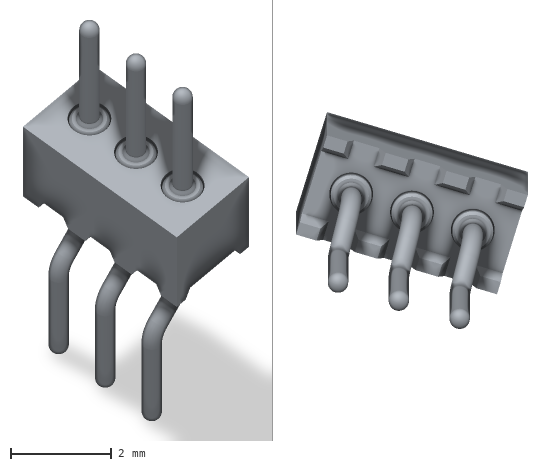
import cadquery as cq
import math

total_height = 9.51

pin_count = 3
pin_row_span = 2.54
pitch = pin_row_span / (pin_count - 1)
housing_length = 4.19
housing_width = 2.12
housing_height = 2.2
hole_radius = 0.44

channel_depth = 0.26
cross_channel_ceiling = 0.53
cross_channel_mouth = 0.8
long_channel_ceiling = 1.33
long_channel_mouth = 1.6

wire_diameter = 0.41
wire_radius = wire_diameter / 2
collar_radius = 0.41
collar_chamfer = 0.06
collar_top = housing_height
collar_bottom = 0.09
cone_flare = 0.07
cone_height = 0.08
pin_rise = 3.0
pin_top = housing_height + pin_rise
pin_bottom = pin_top - total_height

bend_start = -0.27
bend_angle = math.radians(45)
upper_bend_radius = 1.2
lower_bend_radius = 0.65
tail_offset = 0.9


def channel(ceiling, mouth, length, plane):
    """Trapezoidal prism of the given length, centred on the plane's origin."""
    return (
        cq.Workplane(plane)
        .moveTo(-mouth / 2, 0)
        .lineTo(mouth / 2, 0)
        .lineTo(ceiling / 2, channel_depth)
        .lineTo(-ceiling / 2, channel_depth)
        .close()
        .extrude(length / 2, both=True)
    )


def make_housing(pin_positions):
    """Block with a hole per pin, a channel across at each pin and one along the row."""
    block = cq.Workplane("XY").box(
        housing_length, housing_width, housing_height, centered=(True, True, False)
    )
    block = block.cut(channel(long_channel_ceiling, long_channel_mouth, housing_length, "YZ"))
    cross_channel = channel(cross_channel_ceiling, cross_channel_mouth, housing_width, "XZ")
    hole = cq.Workplane("XY").circle(hole_radius).extrude(housing_height)
    for x in pin_positions:
        block = block.cut(cross_channel.translate((x, 0, 0)))
        block = block.cut(hole.translate((x, 0, 0)))
    return block.solids().val()


def make_pin_head():
    """Straight upper part: round tip, wire and chamfered collar with a cone at each end."""
    tip_start = pin_top - wire_radius
    tip_middle = wire_radius * math.sqrt(0.5)
    cone_radius = wire_radius + cone_flare
    face_radius = collar_radius - collar_chamfer
    return (
        cq.Workplane("XZ")
        .moveTo(0, pin_top)
        .threePointArc((tip_middle, tip_start + tip_middle), (wire_radius, tip_start))
        .lineTo(wire_radius, collar_top + cone_height)
        .lineTo(cone_radius, collar_top)
        .lineTo(face_radius, collar_top)
        .lineTo(collar_radius, collar_top - collar_chamfer)
        .lineTo(collar_radius, collar_bottom + collar_chamfer)
        .lineTo(face_radius, collar_bottom)
        .lineTo(cone_radius, collar_bottom)
        .lineTo(wire_radius, collar_bottom - cone_height)
        .lineTo(wire_radius, bend_start)
        .lineTo(0, bend_start)
        .close()
        .revolve(360, (0, 0, 0), (0, 1, 0))
    )


def arc_offset(radius, angle):
    """Sideways and downward travel of a bend that starts out vertical."""
    return radius * (1 - math.cos(angle)), radius * math.sin(angle)


def make_pin_tail():
    """Wire swept down through both bends, ending in a round tip."""
    upper_mid = arc_offset(upper_bend_radius, bend_angle / 2)
    upper_end = arc_offset(upper_bend_radius, bend_angle)
    lower_mid = arc_offset(lower_bend_radius, bend_angle / 2)
    lower_end = arc_offset(lower_bend_radius, bend_angle)
    slope_shift = tail_offset - upper_end[0] - lower_end[0]
    slope_drop = slope_shift / math.tan(bend_angle)
    slope_end_y = -upper_end[0] - slope_shift
    slope_end_z = bend_start - upper_end[1] - slope_drop
    bend_end_z = slope_end_z - lower_end[1]
    tip_start = pin_bottom + wire_radius

    path = (
        cq.Workplane("YZ")
        .moveTo(0, bend_start)
        .threePointArc(
            (-upper_mid[0], bend_start - upper_mid[1]), (-upper_end[0], bend_start - upper_end[1])
        )
        .lineTo(slope_end_y, slope_end_z)
        .threePointArc((-tail_offset + lower_mid[0], bend_end_z + lower_mid[1]), (-tail_offset, bend_end_z))
        .lineTo(-tail_offset, tip_start)
    )
    tail = cq.Workplane("XY", origin=(0, 0, bend_start)).circle(wire_radius).sweep(path)
    tip = cq.Workplane("XY").sphere(wire_radius).translate((0, -tail_offset, tip_start))
    return tail.union(tip)


def make_pin():
    """One complete pin, standing on the Z axis."""
    return make_pin_head().union(make_pin_tail()).solids().val()


pin_positions = [(i - (pin_count - 1) / 2) * pitch for i in range(pin_count)]
housing = make_housing(pin_positions)
pins = [make_pin().translate(cq.Vector(x, 0, 0)) for x in pin_positions]

result = cq.Compound.makeCompound([housing, *pins])